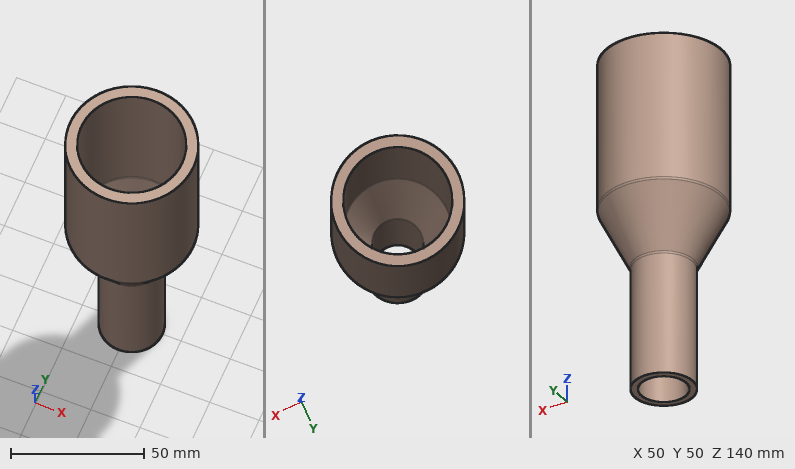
import cadquery as cq

total_height = 140.0
spigot_height = 52.2
cone_height = 24.9
cone_top = spigot_height + cone_height

socket_diameter = 50.0
spigot_diameter = socket_diameter / 2
socket_bore = 40.9
spigot_bore = 19.3

shoulder_radius = 2.1


def stepped_body(lower_diameter, upper_diameter):
    """Solid of revolution: lower cylinder, cone, upper cylinder, blended at the shoulders."""
    lower_radius = lower_diameter / 2
    upper_radius = upper_diameter / 2
    body = (
        cq.Workplane("XZ")
        .lineTo(lower_radius, 0)
        .lineTo(lower_radius, spigot_height)
        .lineTo(upper_radius, cone_top)
        .lineTo(upper_radius, total_height)
        .lineTo(0, total_height)
        .close()
        .revolve(360, (0, 0, 0), (0, 1, 0))
    )
    shoulders = cq.selectors.BoxSelector(
        (-upper_diameter, -upper_diameter, spigot_height / 2),
        (upper_diameter, upper_diameter, (cone_top + total_height) / 2),
    )
    return body.edges("%CIRCLE").edges(shoulders).fillet(shoulder_radius)


outside = stepped_body(spigot_diameter, socket_diameter)
bore = stepped_body(spigot_bore, socket_bore)
result = outside.cut(bore)